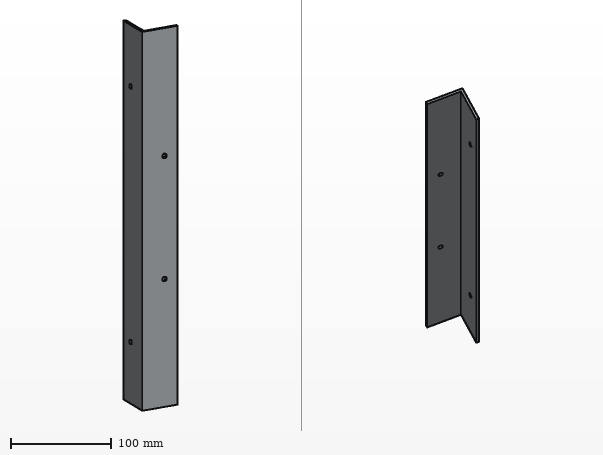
import cadquery as cq

length = 400.0
leg_width = 40.0
thickness = 3.0

hole_diameter = 5.0
hole_edge_distance = 15.0
front_hole_spacing = 270.0
side_hole_spacing = 130.0


def drill_pair(body, x, y, direction, spacing):
    """Cut two holes through one leg, centred on the bar length."""
    for height in ((length - spacing) / 2, (length + spacing) / 2):
        hole = cq.Solid.makeCylinder(
            hole_diameter / 2, thickness, cq.Vector(x, y, height), direction
        )
        body = body.cut(cq.Workplane(obj=hole))
    return body


side_leg_x = leg_width - thickness
front_leg = cq.Workplane("XY").box(leg_width, thickness, length, centered=False)
side_leg = (
    cq.Workplane("XY")
    .box(thickness, leg_width, length, centered=False)
    .translate((side_leg_x, 0, 0))
)
angle_bar = front_leg.union(side_leg)

angle_bar = drill_pair(angle_bar, hole_edge_distance, 0, cq.Vector(0, 1, 0), front_hole_spacing)
result = drill_pair(
    angle_bar, side_leg_x, leg_width - hole_edge_distance, cq.Vector(1, 0, 0), side_hole_spacing
)